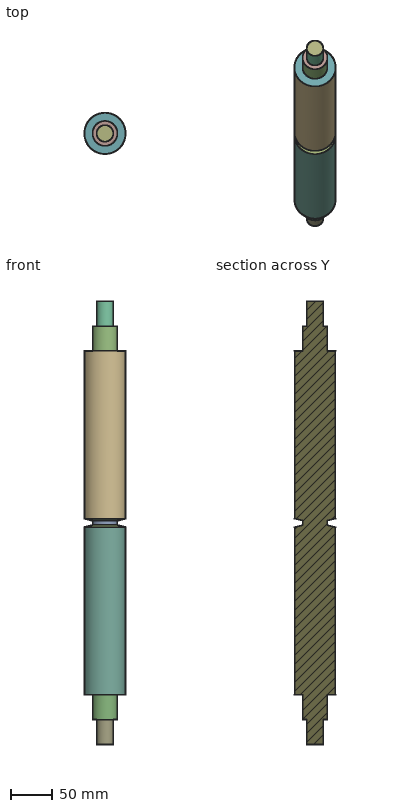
import cadquery as cq

overall_length = 534.8
journal_length = 30.0
shoulder_length = 30.0

journal_diameter = 20.0
shoulder_diameter = 30.0
roller_diameter = 50.0
neck_diameter = 30.0

neck_length = 5.0
cone_height = 2.5

shaft_end = overall_length / 2
shoulder_end = shaft_end - journal_length
roller_end = shoulder_end - shoulder_length
neck_end = neck_length / 2
cone_end = neck_end + cone_height

journal_radius = journal_diameter / 2
shoulder_radius = shoulder_diameter / 2
roller_radius = roller_diameter / 2
neck_radius = neck_diameter / 2


def make_shaft():
    """Revolve the half profile, symmetric about the mid-plane, around the Z axis."""
    upper_outline = [
        (neck_radius, neck_end),
        (roller_radius, cone_end),
        (roller_radius, roller_end),
        (shoulder_radius, roller_end),
        (shoulder_radius, shoulder_end),
        (journal_radius, shoulder_end),
        (journal_radius, shaft_end),
        (0, shaft_end),
    ]
    lower_outline = [(radius, -height) for radius, height in reversed(upper_outline)]
    profile = cq.Workplane("XZ").polyline(lower_outline + upper_outline).close()
    return profile.revolve(360, (0, 0, 0), (0, 1, 0))


result = make_shaft()